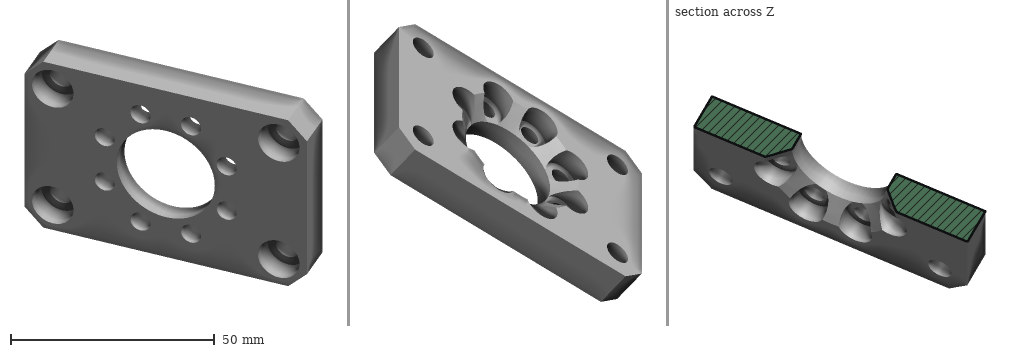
import cadquery as cq
import math

length = 75.0
height = length * 2 / 3
thickness = length * 2 / 15
corner_chamfer = length / 15
front_y = -thickness / 2
back_y = thickness / 2

bore_diameter = 26.0
cone_back_diameter = 36.0
cone_depth = thickness / 2

ring_diameter = 35.0
ring_hole_count = 8
ring_hole_diameter = 5.3
ring_counterbore_diameter = 9.5
ring_counterbore_depth = cone_depth

mount_spacing_x = 60.0
mount_spacing_z = 35.0
mount_hole_diameter = 6.45
mount_counterbore_diameter = 11.0
mount_counterbore_depth = 6.0


def cylinder_along_y(diameter, x, z, start_y, end_y):
    """Solid cylinder at (x, z) running from start_y back to end_y."""
    base = cq.Workplane("XZ", origin=(x, start_y, z)).circle(diameter / 2)
    return base.extrude(start_y - end_y)


def make_plate():
    """Rectangular plate with its four corners cut off."""
    plate = cq.Workplane("XY").box(length, thickness, height)
    return plate.edges("|Y").chamfer(corner_chamfer)


def make_bore():
    """Straight bore from the front that flares into a cone at the rear."""
    bore_radius = bore_diameter / 2
    half_profile = cq.Workplane("XY").polyline(
        [
            (0, front_y),
            (bore_radius, front_y),
            (bore_radius, back_y - cone_depth),
            (cone_back_diameter / 2, back_y),
            (0, back_y),
        ]
    )
    return half_profile.close().revolve(360, (0, 0, 0), (0, 1, 0))


def make_ring_hole(x, z):
    """Through hole with a counterbore sunk from the rear face."""
    hole = cylinder_along_y(ring_hole_diameter, x, z, front_y, back_y)
    counterbore_floor_y = back_y - ring_counterbore_depth
    return hole.union(cylinder_along_y(ring_counterbore_diameter, x, z, counterbore_floor_y, back_y))


def make_mount_hole(x, z):
    """Through hole with a counterbore sunk from the front face."""
    hole = cylinder_along_y(mount_hole_diameter, x, z, front_y, back_y)
    counterbore_floor_y = front_y + mount_counterbore_depth
    return hole.union(cylinder_along_y(mount_counterbore_diameter, x, z, front_y, counterbore_floor_y))


result = make_plate().cut(make_bore())

ring_step = 2 * math.pi / ring_hole_count
for index in range(ring_hole_count):
    angle = (index + 0.5) * ring_step
    hole_x = ring_diameter / 2 * math.cos(angle)
    hole_z = ring_diameter / 2 * math.sin(angle)
    result = result.cut(make_ring_hole(hole_x, hole_z))

for side_x in (-1, 1):
    for side_z in (-1, 1):
        result = result.cut(make_mount_hole(side_x * mount_spacing_x / 2, side_z * mount_spacing_z / 2))